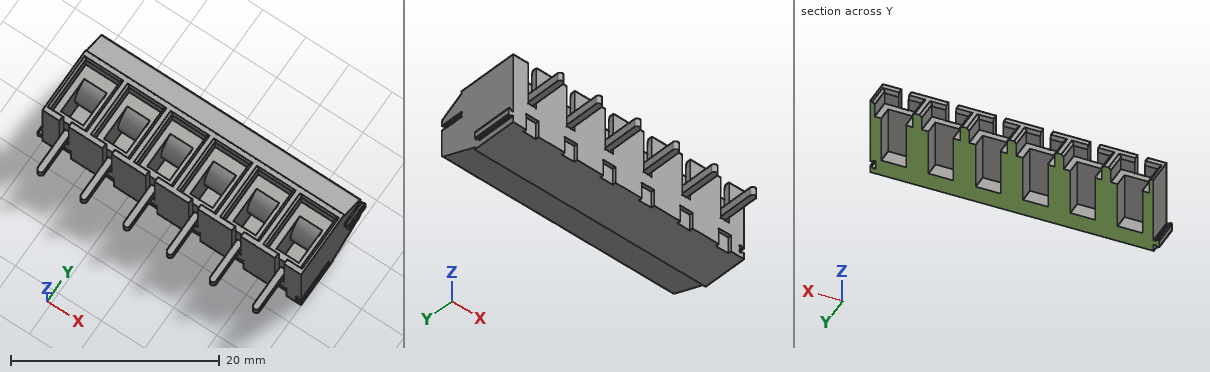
import cadquery as cq
import math

POLES = 6
PITCH = 5.0
HEIGHT = 8.6
DEPTH = 10.2
LENGTH = POLES * PITCH

TOP_SHOULDER_Y = 7.4
TOP_SHOULDER_DROP = 0.3
BACK_TOP_Z = 6.65
BACK_BOTTOM_Z = 2.05
FOOT_Y = 5.5
FOOT_RISE = 0.3
BACK_EDGE_RADIUS = 0.4

CELL_WIDTH = 4.0
CELL_FRONT_Y = 0.7
CELL_BACK_Y = 6.7
CELL_FLOOR_Z = 6.9
SIDE_FLARE_WIDTH = 0.25
SIDE_FLARE_DEPTH = 0.25
END_FLARE_WIDTH = 0.15
END_FLARE_DEPTH = 0.45

POCKET_WIDTH = 2.6
POCKET_FRONT_Y = 1.4
POCKET_BACK_Y = 5.4
CLAMP_RADIUS = 2.8
CLAMP_BULGE = 1.6

SLOT_WIDTH = 1.05
SLOT_BOTTOM_Z = 3.5
PIN_WIDTH = 0.7
PIN_HEIGHT = 1.0
PIN_CENTRE_Z = 4.4
PIN_LENGTH = 4.3
PIN_TIP_LENGTH = 0.35
NOTCH_WIDTH = 1.6
NOTCH_HEIGHT = 2.0
NOTCH_DEPTH = 0.4

RAIL_REACH = 0.6
RAIL_NECK_REACH = 0.18
RAIL_FLARE_REACH = 0.45
RAIL_NECK_HALF = 0.29
RAIL_HEAD_HALF = 0.48
RAIL_TIP_HALF = 0.38
FRONT_RAIL_Z = 1.05
FRONT_RAIL_LENGTH = 4.8
BACK_RAIL_Z = 5.7
BACK_RAIL_LENGTH = DEPTH - TOP_SHOULDER_Y


def box(x_centre, width, y_front, y_back, z_bottom, z_top):
    """Block centred on x_centre, given by its limits in Y and Z."""
    size = (width, y_back - y_front, z_top - z_bottom)
    block = cq.Workplane("XY").box(*size, centered=(True, False, False))
    return block.translate((x_centre, y_front, z_bottom))


def housing():
    """Plain housing block with sloped back corners."""
    outline = [
        (0, 0),
        (FOOT_Y, 0),
        (FOOT_Y, FOOT_RISE),
        (DEPTH, BACK_BOTTOM_Z),
        (DEPTH, BACK_TOP_Z),
        (TOP_SHOULDER_Y, HEIGHT - TOP_SHOULDER_DROP),
        (TOP_SHOULDER_Y, HEIGHT),
        (0, HEIGHT),
    ]
    block = cq.Workplane("YZ").polyline(outline).close().extrude(LENGTH)
    return block.edges("|X and >Y").fillet(BACK_EDGE_RADIUS)


def flared_outline(plane, low, high, flare_width, flare_depth):
    """Closed well section that widens towards the housing top."""
    flare_z = HEIGHT - flare_depth
    outline = [
        (low, CELL_FLOOR_Z),
        (high, CELL_FLOOR_Z),
        (high, flare_z),
        (high + flare_width, HEIGHT),
        (low - flare_width, HEIGHT),
        (low, flare_z),
    ]
    return cq.Workplane(plane).polyline(outline).close()


def cell(x):
    """Open cell whose four flared rim faces meet in mitred corners."""
    half = CELL_WIDTH / 2
    across = flared_outline(
        "XZ", x - half, x + half, SIDE_FLARE_WIDTH, SIDE_FLARE_DEPTH
    ).extrude(-DEPTH)
    along = flared_outline(
        "YZ", CELL_FRONT_Y, CELL_BACK_Y, END_FLARE_WIDTH, END_FLARE_DEPTH
    ).extrude(LENGTH)
    return across.intersect(along)


def clamp_pocket(x):
    """Floor pocket whose back wall bulges forward as part of a cylinder along X."""
    bulge_front_y = POCKET_BACK_Y - CLAMP_BULGE
    half_height = math.sqrt(CLAMP_RADIUS**2 - (CLAMP_RADIUS - CLAMP_BULGE) ** 2)
    bulge_middle_z = CELL_FLOOR_Z - half_height
    pocket_floor_z = CELL_FLOOR_Z - 2 * half_height
    return (
        cq.Workplane("YZ", origin=(x - POCKET_WIDTH / 2, 0, 0))
        .moveTo(POCKET_FRONT_Y, CELL_FLOOR_Z)
        .lineTo(POCKET_FRONT_Y, pocket_floor_z)
        .lineTo(POCKET_BACK_Y, pocket_floor_z)
        .threePointArc((bulge_front_y, bulge_middle_z), (POCKET_BACK_Y, CELL_FLOOR_Z))
        .close()
        .extrude(POCKET_WIDTH)
    )


def pin(x):
    """Solder pin with a rounded tip."""
    half = PIN_WIDTH / 2
    shoulder_y = PIN_TIP_LENGTH - PIN_LENGTH
    return (
        cq.Workplane("XY", origin=(x, 0, PIN_CENTRE_Z - PIN_HEIGHT / 2))
        .moveTo(-half, CELL_FRONT_Y)
        .lineTo(-half, shoulder_y)
        .threePointArc((0, -PIN_LENGTH), (half, shoulder_y))
        .lineTo(half, CELL_FRONT_Y)
        .close()
        .extrude(PIN_HEIGHT)
    )


def rail(x_face, z_centre, y_front, length, outward):
    """Dovetail rail on an end face; outward is +1 or -1 along X."""
    upper = [
        (0, RAIL_NECK_HALF),
        (RAIL_NECK_REACH, RAIL_NECK_HALF),
        (RAIL_FLARE_REACH, RAIL_HEAD_HALF),
        (RAIL_REACH, RAIL_TIP_HALF),
    ]
    lower = [(reach, -half) for reach, half in reversed(upper)]
    outline = [(x_face + outward * reach, z_centre + up) for reach, up in upper + lower]
    return cq.Workplane("XZ", origin=(0, y_front, 0)).polyline(outline).close().extrude(-length)


back_rail_y = DEPTH - BACK_RAIL_LENGTH
result = housing()
for pole in range(POLES):
    x_pole = (pole + 0.5) * PITCH
    result = result.cut(cell(x_pole)).cut(clamp_pocket(x_pole))
    result = result.cut(box(x_pole, SLOT_WIDTH, 0, CELL_FRONT_Y, SLOT_BOTTOM_Z, HEIGHT))
    result = result.cut(box(x_pole, NOTCH_WIDTH, 0, NOTCH_DEPTH, 0, NOTCH_HEIGHT))
    result = result.union(pin(x_pole))

result = result.cut(rail(0, BACK_RAIL_Z, back_rail_y, BACK_RAIL_LENGTH, 1))
result = result.cut(rail(LENGTH, FRONT_RAIL_Z, 0, FRONT_RAIL_LENGTH, -1))
result = result.union(rail(0, FRONT_RAIL_Z, 0, FRONT_RAIL_LENGTH, -1))
result = result.union(rail(LENGTH, BACK_RAIL_Z, back_rail_y, BACK_RAIL_LENGTH, 1))